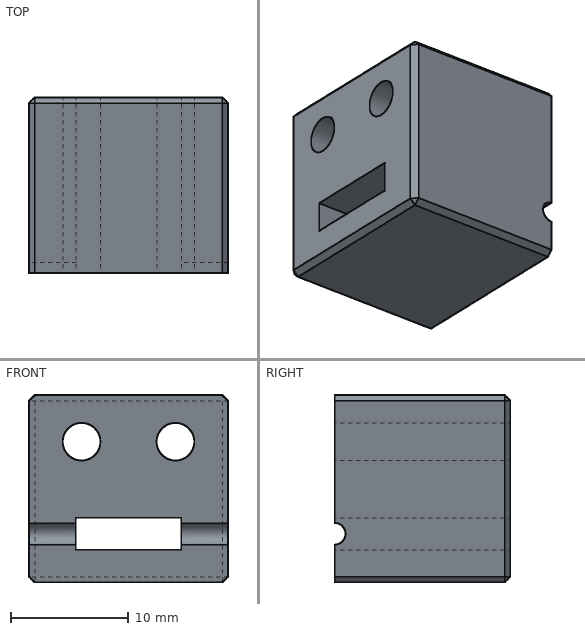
import cadquery as cq

width = 17.0
depth = 15.0
height = 16.0
chamfer = 0.5

hole_diameter = 3.2
hole_spacing = 8.0
hole_drop = 4.0

slot_width = 9.0
slot_height = 2.7
slot_center_z = 4.15
groove_radius = 0.92


def chamfered_block():
    """Block with bevelled back edges and bevelled edges along its sides."""
    block = cq.Workplane("XY").box(width, depth, height, centered=(True, False, False))
    return block.edges("|Y or >Y").chamfer(chamfer)


def mounting_holes():
    """Two cylinders running from front to back."""
    return (
        cq.Workplane("XZ")
        .pushPoints([(side * hole_spacing / 2, height - hole_drop) for side in (-1, 1)])
        .circle(hole_diameter / 2)
        .extrude(-depth)
    )


def center_slot():
    """Rectangular opening running from front to back."""
    return (
        cq.Workplane("XZ")
        .center(0, slot_center_z)
        .rect(slot_width, slot_height)
        .extrude(-depth)
    )


def front_groove():
    """Cylinder along X on the front face, leaving a half-round groove."""
    return (
        cq.Workplane("YZ")
        .center(0, slot_center_z)
        .circle(groove_radius)
        .extrude(width / 2, both=True)
    )


result = chamfered_block().cut(mounting_holes()).cut(center_slot()).cut(front_groove())